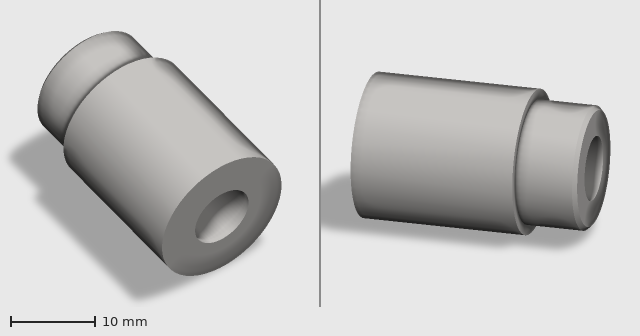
import cadquery as cq

total_length = 27.5
body_diameter = 17.5

spigot_diameter = 15.0
spigot_length = 7.5
spigot_chamfer = 0.5

bore_diameter = 7.8


def cylinder_along_x(diameter, start, length):
    """Solid cylinder on the X axis, running toward +X from start."""
    return cq.Workplane("YZ", origin=(start, 0, 0)).circle(diameter / 2).extrude(length)


spigot = cylinder_along_x(spigot_diameter, 0, spigot_length)
spigot = spigot.faces("<X").edges().chamfer(spigot_chamfer)

body = cylinder_along_x(body_diameter, spigot_length, total_length - spigot_length)
bore = cylinder_along_x(bore_diameter, 0, total_length)

result = spigot.union(body).cut(bore)